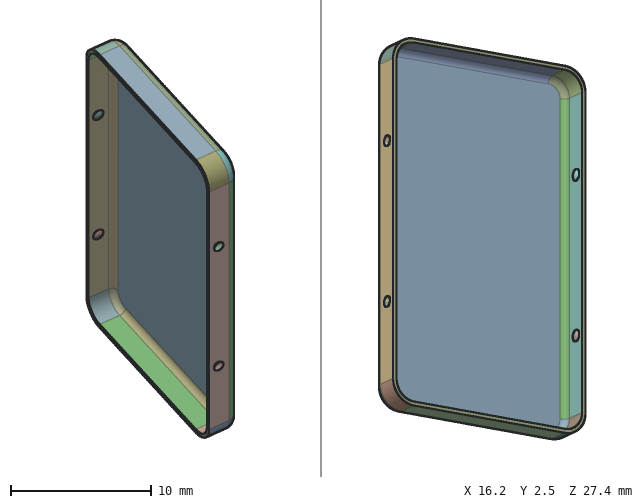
import cadquery as cq
width = 16.2
depth = 2.5
height = 27.4
wall = 0.3
corner_radius = 1.75
back_edge_radius = 0.8

dish_radius = 0.45
bulge_radius = 0.65
ball_offset = 0.2
dimple_spacing = 12.0
dimple_setback = 0.82


def rounded_block(inset):
    """Tray envelope moved inward by inset, with a rounded back edge."""
    block_depth = depth - inset
    return (
        cq.Workplane("XZ")
        .rect(width - 2 * inset, height - 2 * inset)
        .extrude(-block_depth)
        .edges("|Y")
        .fillet(corner_radius - inset)
        .faces(">Y")
        .edges()
        .fillet(back_edge_radius - inset)
    )


def dimple_ball(radius, side, z):
    """Ball centred just outside a side wall (side is -1 or 1)."""
    center_x = side * (width / 2 + ball_offset)
    return cq.Workplane("XZ").sphere(radius).translate((center_x, dimple_setback, z))


cavity = rounded_block(wall)
dishes = []
for side in (-1, 1):
    for z in (-dimple_spacing / 2, dimple_spacing / 2):
        cavity = cavity.cut(dimple_ball(bulge_radius, side, z), clean=False)
        dishes.append(dimple_ball(dish_radius, side, z))

result = rounded_block(0).cut(cavity, clean=False)
for dish in dishes:
    result = result.cut(dish, clean=False)